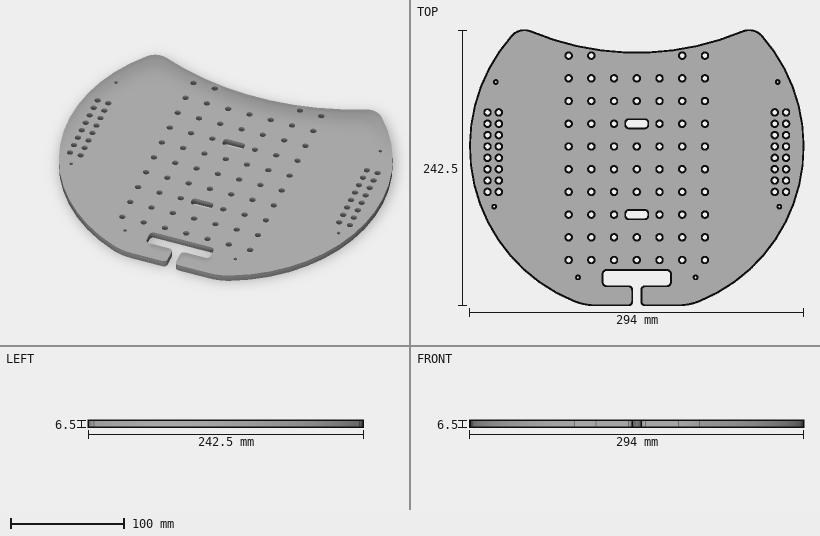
import cadquery as cq

thickness = 6.5
disc_radius = 147.0
flat_distance = 140.0
flat_blend_radius = 50.0
scoop_radius = 241.0
scoop_center_y = 323.7
horn_radius = 15.0

grid_pitch = 20.0
grid_side_columns = 3
grid_top_row = 4
grid_bottom_row = -5
top_row_first_column = 2
hole_diameter = 5.5

slot_rows = (1, -3)
slot_length = grid_pitch
slot_width = 8.0
slot_corner_radius = 3.0

side_pitch = grid_pitch / 2
side_outer_x = 131.5
side_top_row = 3
side_bottom_row = -4

small_hole_diameter = 3.2
small_hole_points = [(124.0, 56.7), (125.5, -53.0), (51.7, -115.2)]

opening_length = 60.0
opening_width = 14.0
lip_width = 17.0
neck_width = 8.0
opening_corner_radius = 3.5


def make_plate():
    """Disc with the straight edge and the scoop, corners rounded."""
    disc = cq.Workplane("XY").circle(disc_radius).extrude(thickness)
    below_flat = (
        cq.Workplane("XY")
        .center(0, -flat_distance - disc_radius)
        .rect(2 * disc_radius, 2 * disc_radius)
        .extrude(thickness)
    )
    scoop = cq.Workplane("XY").center(0, scoop_center_y).circle(scoop_radius).extrude(thickness)
    plate = disc.cut(below_flat).cut(scoop)
    horn_corners = cq.selectors.BoxSelector(
        (-disc_radius, scoop_center_y - scoop_radius, 0), (disc_radius, disc_radius, thickness)
    )
    plate = plate.edges("|Z").edges(horn_corners).fillet(horn_radius)
    return plate.edges("|Z").edges("<Y").fillet(flat_blend_radius)


def cut_holes(plate, points, diameter):
    """Drill round holes through the plate at the given points."""
    return plate.cut(cq.Workplane("XY").pushPoints(points).circle(diameter / 2).extrude(thickness))


def grid_points():
    """Centres of the main grid holes."""
    points = []
    for row in range(grid_bottom_row, grid_top_row + 1):
        for column in range(-grid_side_columns, grid_side_columns + 1):
            under_scoop = row == grid_top_row and abs(column) < top_row_first_column
            at_slot = column == 0 and row in slot_rows
            if not under_scoop and not at_slot:
                points.append((column * grid_pitch, row * grid_pitch))
    return points


def side_points():
    """Centres of the double columns of holes at both sides."""
    return [
        (side * x, row * side_pitch)
        for side in (-1, 1)
        for x in (side_outer_x, side_outer_x - side_pitch)
        for row in range(side_bottom_row, side_top_row + 1)
    ]


def make_slots():
    """Rounded rectangular slots on the Y axis."""
    return (
        cq.Workplane("XY")
        .pushPoints([(0, row * grid_pitch) for row in slot_rows])
        .rect(slot_length, slot_width)
        .extrude(thickness)
        .edges("|Z")
        .fillet(slot_corner_radius)
    )


def cut_opening(plate):
    """Cut the T-shaped opening and round all of its corners."""
    opening_bottom = -flat_distance + lip_width
    opening_top = opening_bottom + opening_width
    bar = (
        cq.Workplane("XY")
        .center(0, opening_bottom + opening_width / 2)
        .rect(opening_length, opening_width)
        .extrude(thickness)
    )
    neck = (
        cq.Workplane("XY")
        .center(0, -flat_distance + lip_width / 2)
        .rect(neck_width, lip_width)
        .extrude(thickness)
    )
    margin = opening_corner_radius / 2
    corners = cq.selectors.BoxSelector(
        (-opening_length / 2 - margin, -flat_distance - margin, 0),
        (opening_length / 2 + margin, opening_top + margin, thickness),
    )
    return plate.cut(bar.union(neck)).edges("|Z").edges(corners).fillet(opening_corner_radius)


small_points = [(side * x, y) for x, y in small_hole_points for side in (-1, 1)]

result = cut_opening(make_plate())
result = cut_holes(result, grid_points() + side_points(), hole_diameter)
result = cut_holes(result, small_points, small_hole_diameter)
result = result.cut(make_slots())